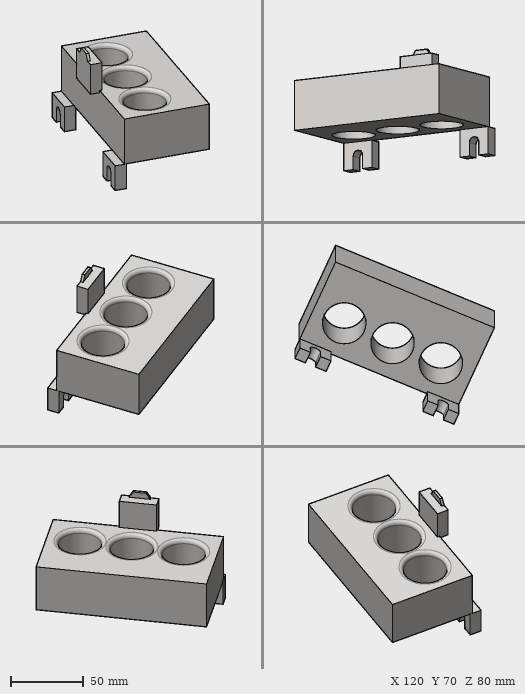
import cadquery as cq

length = 120.0
depth = 70.0
height = 80.0

block_front = 6.8
block_height = 35.0

hole_count = 3
hole_diameter = 30.0
hole_pitch = 36.5
hole_center_y = 31.2
rim_radius = 3.0

plate_thickness = 8.5
foot_width = 23.5
foot_height = 19.2
slot_width = 7.7
slot_height = 13.2

tab_width = 26.3
tab_overlap = 1.7
tip_height = 4.5
tip_thickness = 2.0
tip_base_width = 15.0
tip_top_width = 9.4

block_top = foot_height + block_height
tab_bottom = block_top - tab_overlap
tab_top = height - tip_height


def box_at(center_x, front, bottom, width, thickness, tall):
    """Box centred on X that starts at the given front and bottom."""
    box = cq.Workplane("XY").box(width, thickness, tall, centered=(True, False, False))
    return box.translate((center_x, front, bottom))


def make_block():
    block = box_at(0, block_front, foot_height, length, depth - block_front, block_height)
    holes = (
        cq.Workplane("XY", origin=(0, hole_center_y, foot_height))
        .rarray(hole_pitch, 1.2, hole_count, 1)
        .circle(hole_diameter / 2)
        .extrude(block_height)
    )
    return block.cut(holes).faces(">Z").edges("%CIRCLE").fillet(rim_radius)


def make_foot(center_x):
    """Foot plate with a round-topped slot open at the bottom."""
    half_slot = slot_width / 2
    slot_shoulder = slot_height - half_slot
    slot = (
        cq.Workplane("XZ", origin=(center_x, 0, 0))
        .moveTo(-half_slot, 0)
        .lineTo(-half_slot, slot_shoulder)
        .threePointArc((0, slot_height), (half_slot, slot_shoulder))
        .lineTo(half_slot, 0)
        .close()
        .extrude(-plate_thickness)
    )
    return box_at(center_x, 0, 0, foot_width, plate_thickness, foot_height).cut(slot)


def make_tab():
    plate = box_at(0, 0, tab_bottom, tab_width, plate_thickness, tab_top - tab_bottom)
    tip = (
        cq.Workplane("XZ")
        .polyline([
            (-tip_base_width / 2, tab_top),
            (-tip_top_width / 2, height),
            (tip_top_width / 2, height),
            (tip_base_width / 2, tab_top),
        ])
        .close()
        .extrude(-tip_thickness)
    )
    return plate.union(tip)


result = make_block().union(make_tab())
for side in (-1, 1):
    result = result.union(make_foot(side * (length - foot_width) / 2))